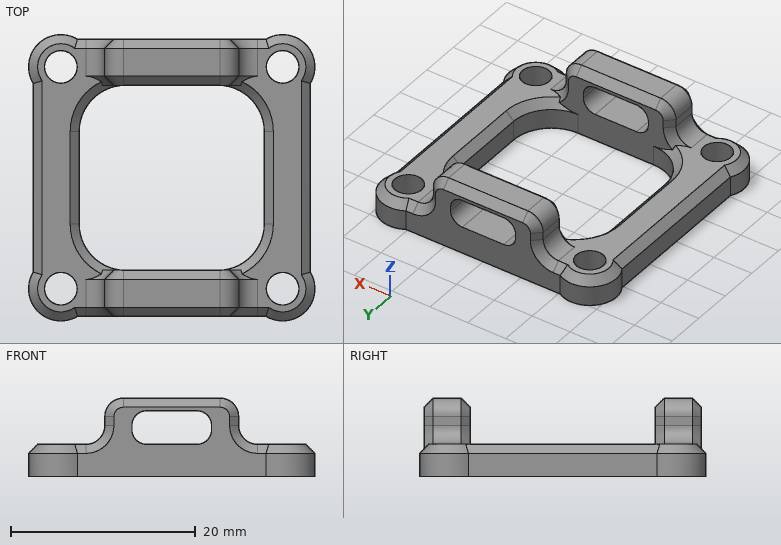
import cadquery as cq
import math

overall_size = 31.0
pad_diameter = 7.0
hole_diameter = 3.5
body_size = 30.0
body_corner_radius = 3.0
base_height = 3.5
chamfer = 1.0
opening_size = 20.0
opening_radius = 5.0
hole_spacing = overall_size - pad_diameter

total_height = 8.5
lug_width = 14.5
lug_radius = 2.0
lug_thickness = (body_size - opening_size) / 2

slot_width = 8.58
slot_height = 3.6
slot_radius = 1.55


def make_base():
    """Frame with corner pads, chamfered around its outer and inner top edges."""
    pads = (
        cq.Workplane("XY")
        .rect(hole_spacing, hole_spacing, forConstruction=True)
        .vertices()
        .circle(pad_diameter / 2)
        .extrude(base_height)
    )
    opening = (
        cq.Workplane("XY")
        .rect(opening_size, opening_size)
        .extrude(base_height)
        .edges("|Z")
        .fillet(opening_radius)
    )
    body = (
        cq.Workplane("XY")
        .rect(body_size, body_size)
        .extrude(base_height)
        .edges("|Z")
        .fillet(body_corner_radius)
    )
    frame = body.union(pads).cut(opening).clean()
    return frame.faces(">Z").edges().chamfer(chamfer)


def make_lug(front_y):
    """Lug with flared feet and round shoulders, starting at front_y and growing toward +Y."""
    half_width = lug_width / 2
    foot_x = half_width + lug_radius
    shoulder_x = half_width - lug_radius
    foot_top = base_height + lug_radius
    shoulder_bottom = total_height - lug_radius
    diagonal = lug_radius * math.sqrt(0.5)

    lug = (
        cq.Workplane("XZ", origin=(0, front_y, 0))
        .moveTo(-foot_x, 0)
        .lineTo(-foot_x, base_height)
        .threePointArc((-foot_x + diagonal, foot_top - diagonal), (-half_width, foot_top))
        .lineTo(-half_width, shoulder_bottom)
        .threePointArc(
            (-shoulder_x - diagonal, shoulder_bottom + diagonal), (-shoulder_x, total_height)
        )
        .lineTo(shoulder_x, total_height)
        .threePointArc(
            (shoulder_x + diagonal, shoulder_bottom + diagonal), (half_width, shoulder_bottom)
        )
        .lineTo(half_width, foot_top)
        .threePointArc((foot_x - diagonal, foot_top - diagonal), (foot_x, base_height))
        .lineTo(foot_x, 0)
        .close()
        .extrude(-lug_thickness)
    )
    upper_region = cq.selectors.BoxSelector(
        (-foot_x, -body_size, base_height), (foot_x, body_size, total_height + chamfer)
    )
    upper_outline = lug.faces("|Y").edges(upper_region)
    return upper_outline.chamfer(chamfer)


def make_slot():
    """Rounded slot resting on the base top level and passing through both lugs."""
    return (
        cq.Workplane("XY")
        .box(slot_width, body_size, slot_height)
        .edges("|Y")
        .fillet(slot_radius)
        .translate((0, 0, base_height + slot_height / 2))
    )


result = make_base()
for lug_start in (-body_size / 2, opening_size / 2):
    result = result.union(make_lug(lug_start))

result = result.cut(make_slot())

corner_holes = (
    cq.Workplane("XY")
    .rect(hole_spacing, hole_spacing, forConstruction=True)
    .vertices()
    .circle(hole_diameter / 2)
    .extrude(total_height)
)
result = result.cut(corner_holes)